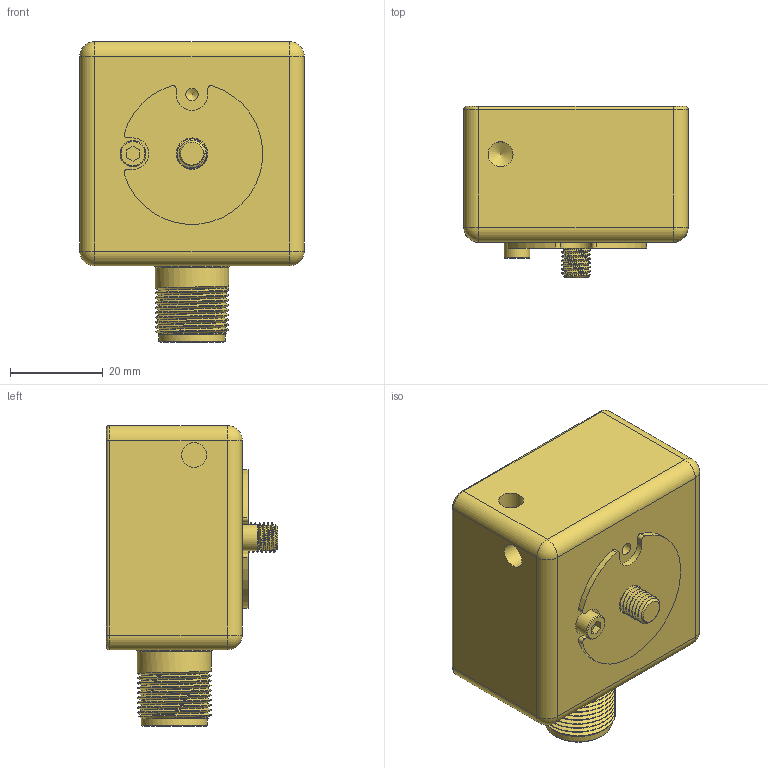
import cadquery as cq
import math

body_size = 48.29
body_depth = 29.21
corner_radius = 3.18
back_edge_radius = 0.64
half_size = body_size / 2

plate_diameter = 30.48
plate_thickness = 1.27
slot_width = 6.76
slot_corner_radius = 0.76
slot_offset = 12.7

dowel_hole_diameter = 2.64
dowel_hole_depth = 5.0
housing_hole_diameter = 5.36
housing_hole_depth = 10.0
side_hole_y = 10.35
side_hole_below_top = 6.35
top_hole_x = 7.92 - half_size
top_hole_y = 18.9
drill_point_angle = 118.0

screw_head_diameter = 5.59
screw_head_height = 3.48
screw_head_chamfer = 0.2
hex_across_flats = 2.78
hex_depth = 1.5

stud_diameter = 6.35
stud_root_diameter = 4.95
stud_length = 7.62
stud_pitch = 25.4 / 28
stud_clearance_diameter = 6.76

connector_y = body_depth / 2
connector_diameter = 15.88
connector_root_diameter = 14.25
connector_length = 16.51
connector_pitch = 25.4 / 24
connector_shank_length = 4.25
connector_tip_length = 1.65
connector_tip_chamfer = 0.25
collar_diameter = 16.26
collar_thickness = 0.4
collar_chamfer = 0.18

thread_flat_share = 0.125
groove_overlap = 0.05


def housing():
    block = cq.Workplane("XY").box(body_size, body_depth, body_size, centered=(True, False, True))
    block = block.edges("|Y").fillet(corner_radius)
    block = block.faces("<Y").edges().fillet(corner_radius)
    return block.faces(">Y").edges().fillet(back_edge_radius)


def slot(angle):
    """Full-round slot from the slot centre outward, turned by angle about Y from straight up."""
    outer_z = plate_diameter / 2 + slot_width
    profile = (
        cq.Workplane("XZ")
        .moveTo(-slot_width / 2, outer_z)
        .lineTo(-slot_width / 2, slot_offset)
        .threePointArc((0, slot_offset - slot_width / 2), (slot_width / 2, slot_offset))
        .lineTo(slot_width / 2, outer_z)
        .close()
        .extrude(plate_thickness)
    )
    return profile.rotate((0, 0, 0), (0, 1, 0), angle)


def mounting_plate():
    plate = cq.Workplane("XZ").circle(plate_diameter / 2).extrude(plate_thickness)
    for angle in (0, -90):
        plate = plate.cut(slot(angle))
    rim_inner_radius = plate_diameter / 2 - slot_corner_radius / 2
    mouths = [
        edge
        for edge in plate.edges("|Y").vals()
        if math.hypot(edge.Center().x, edge.Center().z) > rim_inner_radius
        and min(abs(edge.Center().x), abs(edge.Center().z)) > slot_width / 4
    ]
    plate = plate.newObject(mouths).fillet(slot_corner_radius)
    return plate.cut(cq.Workplane("XZ").circle(stud_clearance_diameter / 2).extrude(plate_thickness))


def drill(diameter, depth):
    """Drill with a conical point, with its mouth at Z = 0 and its point below."""
    radius = diameter / 2
    point_length = radius / math.tan(math.radians(drill_point_angle / 2))
    return (
        cq.Workplane("XZ")
        .polyline([(0, 0), (radius, 0), (radius, -depth), (0, -depth - point_length)])
        .close()
        .revolve(360, (0, 0), (0, 1))
    )


def holes():
    top = drill(housing_hole_diameter, housing_hole_depth).translate((top_hole_x, top_hole_y, half_size))
    dowel = drill(dowel_hole_diameter, dowel_hole_depth).rotate((0, 0, 0), (1, 0, 0), 90)
    dowel = dowel.translate((0, 0, slot_offset))
    side = (
        cq.Workplane("YZ", origin=(-half_size, 0, 0))
        .center(side_hole_y, half_size - side_hole_below_top)
        .circle(housing_hole_diameter / 2)
        .extrude(housing_hole_depth)
    )
    return top.union(dowel).union(side)


def screw_head():
    head = cq.Workplane("XZ").circle(screw_head_diameter / 2).extrude(screw_head_height)
    head = head.faces("<Y").edges().chamfer(screw_head_chamfer)
    corner_angle = 30
    hex_corner_diameter = hex_across_flats / math.cos(math.radians(corner_angle))
    socket = (
        cq.Workplane("XZ", origin=(0, hex_depth - screw_head_height, 0))
        .polygon(6, hex_corner_diameter)
        .extrude(hex_depth)
        .rotate((0, 0, 0), (0, 1, 0), corner_angle)
    )
    return head.cut(socket).translate((-slot_offset, 0, 0))


def thread_groove(major, root, pitch, start, length):
    """Helical V groove about Z that cuts a cylinder of the major diameter down to the root."""
    depth = (major - root) / 2
    root_half = pitch * thread_flat_share / 2
    mouth_half = pitch * (1 - thread_flat_share) / 2
    outer_half = root_half + (mouth_half - root_half) * (depth + groove_overlap) / depth
    outer_radius = major / 2 + groove_overlap
    path = cq.Wire.makeHelix(pitch, length, root / 2).translate(cq.Vector(0, 0, start))
    profile = (
        cq.Workplane("XZ", origin=(0, 0, start))
        .polyline([
            (root / 2, -root_half),
            (outer_radius, -outer_half),
            (outer_radius, outer_half),
            (root / 2, root_half),
        ])
        .close()
    )
    return profile.sweep(cq.Workplane(path), isFrenet=True)


def threaded_rod(major, root, pitch, start, end):
    """Rod along Z from 0 to end, threaded from start to a chamfered end."""
    blank = cq.Workplane("XY").circle(major / 2).extrude(end + 2 * pitch)
    groove = thread_groove(major, root, pitch, start, end + pitch - start)
    envelope_radius = major / 2 + groove_overlap
    envelope = cq.Workplane("XY").circle(envelope_radius).extrude(end)
    envelope = envelope.faces(">Z").edges().chamfer(envelope_radius - root / 2)
    return blank.cut(groove).intersect(envelope)


def stud():
    rod = threaded_rod(stud_diameter, stud_root_diameter, stud_pitch, plate_thickness, stud_length)
    return rod.rotate((0, 0, 0), (1, 0, 0), 90)


def connector():
    thread_end = connector_length - connector_tip_length
    shank = threaded_rod(
        connector_diameter,
        connector_root_diameter,
        connector_pitch,
        connector_shank_length + connector_pitch / 2,
        thread_end,
    )
    tip = cq.Workplane("XY", origin=(0, 0, thread_end))
    tip = tip.circle(connector_root_diameter / 2).extrude(connector_tip_length)
    tip = tip.faces(">Z").edges().chamfer(connector_tip_chamfer)
    collar = cq.Workplane("XY").circle(collar_diameter / 2).extrude(collar_thickness)
    collar = collar.faces(">Z").edges().chamfer(collar_chamfer)
    assembled = shank.union(tip).union(collar)
    assembled = assembled.rotate((0, 0, 0), (1, 0, 0), 180)
    return assembled.translate((0, connector_y, -half_size))


result = housing().union(mounting_plate()).cut(holes())
for fitting in (screw_head(), stud(), connector()):
    result = result.union(fitting)